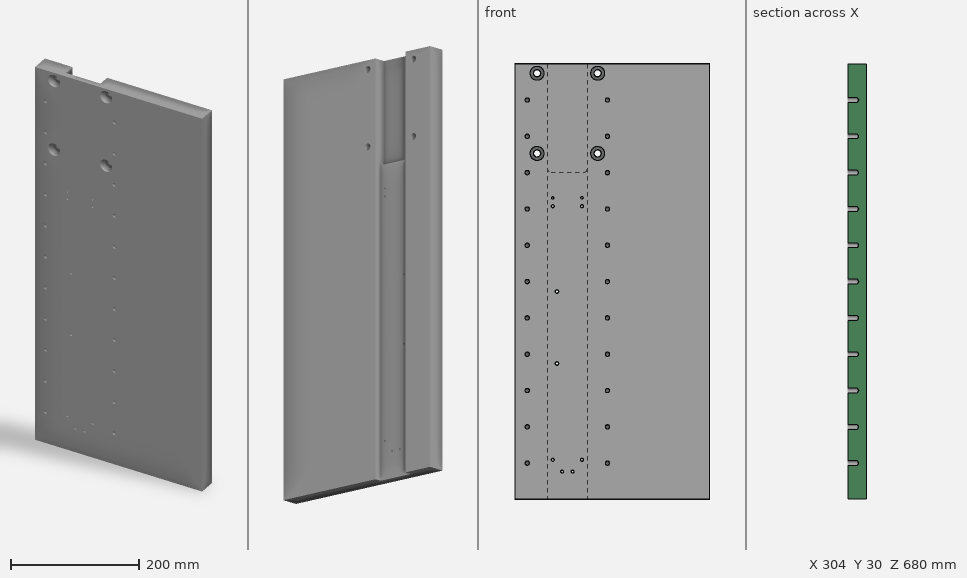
import cadquery as cq
import math

width = 304.0
thickness = 30.0
height = 680.0
front_y = -thickness / 2
back_y = thickness / 2
top_z = height / 2

channel_x = -70.0
channel_width = 62.5
channel_depth = 12.0
pocket_depth = 20.5
pocket_length = 170.0
pocket_corner_radius = 7.0

bolt_diameter = 11.0
counterbore_diameter = 22.0
counterbore_depth = 13.5
bolt_spacing_x = 94.5
bolt_spacing_z = 125.0
bolt_edge_distance = 15.0

column_hole_diameter = 7.0
column_hole_depth = 15.0
drill_tip_angle = 118.0
column_spacing = 125.0
pitch_count = 12
column_pitch = height / pitch_count

small_hole_diameter = 4.2
offset_hole_diameter = 5.0
pair_spacing = 45.5
upper_pair_z = 117.5
lower_pair_z = -278.0
offset_from_channel = 16.0
offset_hole_x = channel_x - offset_from_channel
offset_holes_z = (-15.5, -128.0)
bottom_pair_spacing = 16.0
bottom_pair_z = -296.5

pin_diameter = 3.3
pin_z = 130.5


def pair(spacing, z):
    """Two points at height z, symmetric about the channel axis."""
    return [(channel_x - spacing / 2, z), (channel_x + spacing / 2, z)]


def front_holes(points, diameter, depth):
    """Cylinders that enter the front face at (x, z) points and run toward +Y."""
    front = cq.Workplane("XZ", origin=(0, front_y, 0))
    return front.pushPoints(points).circle(diameter / 2).extrude(-depth)


def drill_tips(points, diameter, depth):
    """Cones that end blind holes of the given full-diameter depth."""
    tip_length = diameter / 2 / math.tan(math.radians(drill_tip_angle / 2))
    start = cq.Vector(0, front_y + depth, 0)
    toward_back = cq.Vector(0, 1, 0)
    tip = cq.Solid.makeCone(diameter / 2, 0, tip_length, start, toward_back)
    tips = cq.Workplane("XY")
    for x, z in points:
        tips = tips.add(tip.translate(cq.Vector(x, 0, z)))
    return tips.combine()


def back_slot(depth, length):
    """Block cut into the back face along the channel, starting at the top edge."""
    slot = cq.Workplane("XY").box(channel_width, depth, length)
    return slot.translate((channel_x, back_y - depth / 2, top_z - length / 2))


plate = cq.Workplane("XY").box(width, thickness, height)

channel = back_slot(channel_depth, height)
pocket = back_slot(pocket_depth, pocket_length).edges("|Y and <Z").fillet(pocket_corner_radius)
plate = plate.cut(channel).cut(pocket)

upper_bolt_z = top_z - bolt_edge_distance
bolts = pair(bolt_spacing_x, upper_bolt_z) + pair(bolt_spacing_x, upper_bolt_z - bolt_spacing_z)
plate = plate.cut(front_holes(bolts, bolt_diameter, thickness))
plate = plate.cut(front_holes(bolts, counterbore_diameter, counterbore_depth))

column_points = []
for row in range(1, pitch_count):
    column_points += pair(column_spacing, top_z - row * column_pitch)
plate = plate.cut(front_holes(column_points, column_hole_diameter, column_hole_depth))
plate = plate.cut(drill_tips(column_points, column_hole_diameter, column_hole_depth))

small_points = pair(pair_spacing, upper_pair_z) + pair(pair_spacing, lower_pair_z)
small_points += pair(bottom_pair_spacing, bottom_pair_z)
plate = plate.cut(front_holes(small_points, small_hole_diameter, thickness))
offset_points = [(offset_hole_x, z) for z in offset_holes_z]
plate = plate.cut(front_holes(offset_points, offset_hole_diameter, thickness))
plate = plate.cut(front_holes(pair(pair_spacing, pin_z), pin_diameter, thickness))

result = plate